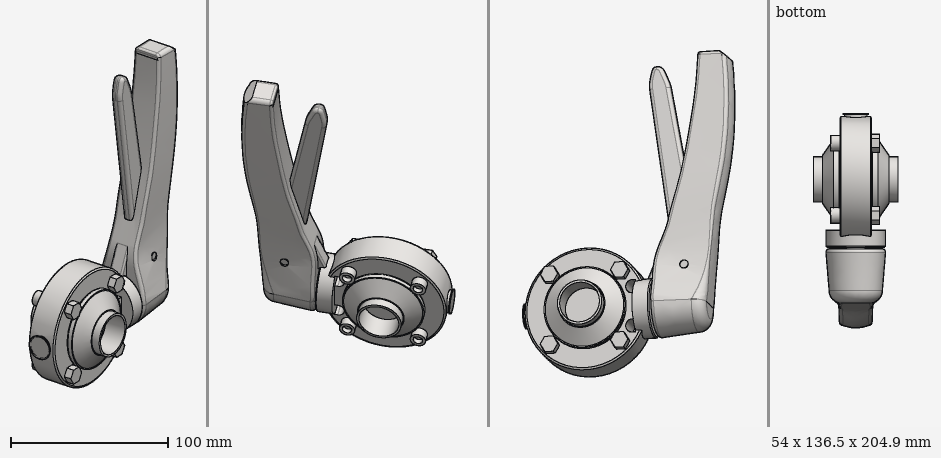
import cadquery as cq
import math


BODY_RADIUS = 40.0
BODY_HALF_WIDTH = 10.0
BODY_CHAMFER_AXIAL = 0.7
BODY_CHAMFER_RADIAL = 1.3

HUB_RADIUS = 26.5
HUB_END = 14.0
CONE_START_RADIUS = 25.7
HUB_GROOVE_RADIUS = 25.8
HUB_GROOVE_WIDTH = 0.7
CONE_END = 21.2
CONE_END_RADIUS = 15.2
TUBE_RADIUS = 14.5
TUBE_BORE_RADIUS = 13.0
TUBE_END = 27.0
CLOSING_FACE = 11.8

BOLT_OFFSET = 23.0
BOLT_HEAD_RADIUS = 5.0
BOLT_HEAD_END = 16.0
BOLT_SOCKET_RADIUS = 3.0
BOLT_SOCKET_DEPTH = 3.5
NUT_ACROSS_FLATS = 10.0
NUT_END = 15.2

PLUG_RADIUS = 8.1
PLUG_NECK_RADIUS = 7.3
PLUG_END = 42.0
PLUG_LIP = 0.8

COLLAR_RADIUS = 19.0
COLLAR_START = 32.3
COLLAR_END = 43.2
COLLAR_CHAMFER = 0.8
STEM_RADIUS = 6.0
SLOT_OFFSET = 12.9
SLOT_RADIUS = 4.3
SLOT_TIP = 26.0

HANDLE_TOP = 164.85
CROWN_HALF_WIDTH = 10.1
CROWN_FRONT = 72.7
CROWN_BACK = 100.0
CROWN_HEIGHT = 4.0
CROWN_SIDE_FILLET = 3.2
CROWN_FRONT_FILLET = 1.8
TOP_SLOPE_START = 86.5
TOP_SLOPE_ANGLE = 39.0
TOP_SLOPE_LENGTH = 12.0

HANDLE_SECTIONS = [
    (0.0, 44.3, 78.7, 19.0, 17.0, 2.2, 8.0, 0.05),
    (10.0, 44.3, 79.8, 17.6, 13.6, 2.2, 4.8, 0.15),
    (20.0, 44.3, 80.6, 14.6, 11.7, 2.2, 2.4, 0.3),
    (30.0, 45.0, 81.7, 12.0, 10.8, 2.0, 1.3, 0.5),
    (40.0, 48.0, 82.8, 11.0, 10.2, 2.0, 1.3, 0.7),
    (60.0, 54.8, 85.2, 11.3, 10.3, 2.0, 1.9, 1.3),
    (80.0, 60.5, 89.4, 11.6, 10.5, 2.0, 2.4, 1.5),
    (105.0, 65.8, 93.3, 11.2, 10.5, 2.0, 2.5, 1.5),
    (130.0, 69.9, 94.52, 10.8, 10.5, 2.0, 2.5, 1.5),
    (150.0, 72.0, 93.9, 10.3, 10.3, 2.0, 2.5, 1.5),
    (HANDLE_TOP, 72.9, 92.5, 10.0, 10.0, 2.0, 2.5, 1.5),
]
STEM_END = 50.0

PIVOT_Y = 64.6
PIVOT_Z = 24.8
PIVOT_RADIUS = 2.7
PIVOT_BOTTOM = 11.3

LEVER_HALF_THICKNESS = 3.75
LEVER_FILLET = 2.5
LEVER_TIP = (44.6, 158.4)
LEVER_BACK_TOP = (53.3, 143.9)
LEVER_BACK_SHOULDER = (49.6, 154.0)
LEVER_BACK_ROOT = (70.0, 52.0)
LEVER_FRONT_TOP = (39.6, 143.0)
LEVER_FRONT_SHOULDER = (40.7, 154.0)
LEVER_FRONT_ROOT = (52.5, 52.3)

CATCH_HALF_WIDTH = 5.0
CATCH_FILLET = 1.2
CATCH_TOP = (47.3, 38.0)
CATCH_FOOT = (38.4, 17.0)
CATCH_BACK = 55.0


def body():
    rim = BODY_RADIUS - BODY_CHAMFER_RADIAL
    shoulder = BODY_HALF_WIDTH - BODY_CHAMFER_AXIAL
    groove_end = BODY_HALF_WIDTH + HUB_GROOVE_WIDTH
    half = [
        (BODY_HALF_WIDTH, HUB_GROOVE_RADIUS),
        (groove_end, HUB_GROOVE_RADIUS),
        (groove_end, HUB_RADIUS),
        (HUB_END, HUB_RADIUS),
        (HUB_END, CONE_START_RADIUS),
        (CONE_END, CONE_END_RADIUS),
        (CONE_END, TUBE_RADIUS),
        (TUBE_END, TUBE_RADIUS),
        (TUBE_END, TUBE_BORE_RADIUS),
        (CLOSING_FACE, TUBE_BORE_RADIUS),
        (CLOSING_FACE, 0),
    ]
    outer = [(shoulder, BODY_RADIUS), (BODY_HALF_WIDTH, rim)] + half
    mirrored = [(-x, r) for x, r in reversed(outer)]
    profile = cq.Workplane("XY").polyline(outer + mirrored).close()
    return profile.revolve(360, (0, 0, 0), (1, 0, 0))


def bolts():
    places = [(y, z) for y in (-BOLT_OFFSET, BOLT_OFFSET) for z in (-BOLT_OFFSET, BOLT_OFFSET)]
    heads = (
        cq.Workplane("YZ", origin=(-BOLT_HEAD_END, 0, 0))
        .pushPoints(places)
        .circle(BOLT_HEAD_RADIUS)
        .circle(BOLT_SOCKET_RADIUS)
        .extrude(BOLT_SOCKET_DEPTH)
    )
    shanks = (
        cq.Workplane("YZ", origin=(BOLT_SOCKET_DEPTH - BOLT_HEAD_END, 0, 0))
        .pushPoints(places)
        .circle(BOLT_HEAD_RADIUS)
        .extrude(BOLT_HEAD_END - BOLT_SOCKET_DEPTH)
    )
    nuts = (
        cq.Workplane("YZ")
        .pushPoints(places)
        .polygon(6, NUT_ACROSS_FLATS / math.cos(math.pi / 6))
        .extrude(NUT_END)
    )
    return heads.union(shanks).union(nuts)


def along_stem(points):
    """Revolve a (radius, Y) outline about the stem axis."""
    return cq.Workplane("XY").polyline(points).close().revolve(360, (0, 0, 0), (0, 1, 0))


def plug():
    lip_start = -PLUG_END + PLUG_LIP
    inside = -BODY_RADIUS + PLUG_RADIUS
    return along_stem([
        (0, inside),
        (PLUG_NECK_RADIUS, inside),
        (PLUG_NECK_RADIUS, lip_start),
        (PLUG_RADIUS, lip_start),
        (PLUG_RADIUS, -PLUG_END),
        (0, -PLUG_END),
    ])


def collar():
    return along_stem([
        (0, COLLAR_START),
        (COLLAR_RADIUS, COLLAR_START),
        (COLLAR_RADIUS, COLLAR_END - COLLAR_CHAMFER),
        (COLLAR_RADIUS - COLLAR_CHAMFER, COLLAR_END),
        (STEM_RADIUS, COLLAR_END),
        (STEM_RADIUS, STEM_END),
        (0, STEM_END),
    ])


def collar_slots():
    """Two gaps through the body beside the stem, round at the tip and ending at the collar."""
    tip_centre = SLOT_TIP + SLOT_RADIUS
    straight = COLLAR_START - tip_centre
    places = [(tip_centre, -SLOT_OFFSET), (tip_centre, SLOT_OFFSET)]
    tips = (
        cq.Workplane("YZ")
        .pushPoints(places)
        .circle(SLOT_RADIUS)
        .extrude(BODY_HALF_WIDTH, both=True)
    )
    sides = (
        cq.Workplane("YZ")
        .pushPoints([(y + straight / 2, z) for y, z in places])
        .rect(straight, 2 * SLOT_RADIUS)
        .extrude(BODY_HALF_WIDTH, both=True)
    )
    past_collar = cq.Workplane("XY").box(
        2 * COLLAR_RADIUS, COLLAR_START, 2 * COLLAR_RADIUS, centered=(True, False, True)
    )
    return tips.union(sides).intersect(past_collar)


def corner_middle(start, end, corner):
    """Middle of the quarter arc from start to end that bulges towards the sharp corner."""
    keep = math.sqrt(0.5)
    centre = (start[0] + end[0] - corner[0], start[1] + end[1] - corner[1])
    return tuple(c + keep * (k - c) for c, k in zip(centre, corner))


def section_side(front, back, front_half, back_half, front_corner, back_corner, bulge):
    """Points of the +X side, front to back, with the middle of each rounded corner."""
    shoulder = back - bulge
    front_start = (front_half - front_corner, front)
    front_end = (front_half, front + front_corner)
    back_start = (back_half, shoulder - back_corner)
    back_end = (back_half - back_corner, shoulder)
    front_middle = corner_middle(front_start, front_end, (front_half, front))
    back_middle = corner_middle(back_start, back_end, (back_half, shoulder))
    return front_start, front_middle, front_end, back_start, back_middle, back_end


def section_wire(height, front, back, *shape):
    """Closed outline of the handle at one height."""
    right = section_side(front, back, *shape)
    left = [(-x, y) for x, y in right]
    return (
        cq.Workplane("XY", origin=(0, 0, height))
        .moveTo(*left[0])
        .lineTo(*right[0])
        .threePointArc(right[1], right[2])
        .lineTo(*right[3])
        .threePointArc(right[4], right[5])
        .threePointArc((0, back), left[5])
        .threePointArc(left[4], left[3])
        .lineTo(*left[2])
        .threePointArc(left[1], left[0])
        .close()
        .val()
    )


def crown_trim():
    """Material to remove so that the handle top is rounded at its front and sides."""
    bottom = HANDLE_TOP - CROWN_HEIGHT
    depth = CROWN_BACK - CROWN_FRONT
    middle = (CROWN_BACK + CROWN_FRONT) / 2
    slab = cq.Workplane("XY", origin=(0, middle, bottom)).rect(2 * depth, 2 * depth).extrude(CROWN_HEIGHT)
    crown = (
        cq.Workplane("XY", origin=(0, middle, bottom))
        .rect(2 * CROWN_HALF_WIDTH, depth)
        .extrude(CROWN_HEIGHT)
        .edges("|Y and >Z")
        .fillet(CROWN_SIDE_FILLET)
        .faces("<Y")
        .edges("not <Z")
        .edges("not |Z")
        .fillet(CROWN_FRONT_FILLET)
    )
    return slab.cut(crown)


def grip():
    """Upper part of the handle, lofted through its cross sections."""
    loft = cq.Solid.makeLoft([section_wire(*sizes) for sizes in HANDLE_SECTIONS])
    angle = math.radians(TOP_SLOPE_ANGLE)
    slope_end = TOP_SLOPE_START + TOP_SLOPE_LENGTH
    slope_drop = TOP_SLOPE_LENGTH * math.tan(angle)
    slope = (
        cq.Workplane("YZ")
        .moveTo(TOP_SLOPE_START, HANDLE_TOP)
        .lineTo(slope_end, HANDLE_TOP)
        .lineTo(slope_end, HANDLE_TOP - slope_drop)
        .close()
        .extrude(COLLAR_RADIUS, both=True)
    )
    return cq.Workplane(loft).cut(slope).cut(crown_trim())


def handle_bottom():
    """Lower half of the handle base: the base section turned half a circle about the stem axis."""
    front, back = HANDLE_SECTIONS[0][1:3]
    right = section_side(*HANDLE_SECTIONS[0][1:])
    return (
        cq.Workplane("XY")
        .moveTo(0, front)
        .lineTo(*right[0])
        .threePointArc(right[1], right[2])
        .lineTo(*right[3])
        .threePointArc(right[4], right[5])
        .lineTo(0, back)
        .close()
        .revolve(180, (0, 0, 0), (0, 1, 0))
    )


def pivot_holes():
    one_side = (
        cq.Workplane("YZ", origin=(PIVOT_BOTTOM, 0, 0))
        .center(PIVOT_Y, PIVOT_Z)
        .circle(PIVOT_RADIUS)
        .extrude(COLLAR_RADIUS - PIVOT_BOTTOM)
    )
    return one_side.union(one_side.mirror("YZ"))


def lever():
    up = (-0.17, 1.0)
    down = (0.14, -1.0)
    forward = (-1.0, 0.0)
    return (
        cq.Workplane("YZ")
        .moveTo(*LEVER_BACK_ROOT)
        .lineTo(*LEVER_BACK_TOP)
        .spline([LEVER_BACK_SHOULDER, LEVER_TIP], tangents=[up, forward], includeCurrent=True)
        .spline([LEVER_FRONT_SHOULDER, LEVER_FRONT_TOP], tangents=[forward, down], includeCurrent=True)
        .lineTo(*LEVER_FRONT_ROOT)
        .close()
        .extrude(LEVER_HALF_THICKNESS, both=True)
        .edges("(not |X) and (not <Z)")
        .fillet(LEVER_FILLET)
    )


def catch():
    """Wedge standing out of the handle front, its sloping face rounded at the sides and top."""
    return (
        cq.Workplane("YZ")
        .polyline([(CATCH_BACK, CATCH_TOP[1]), CATCH_TOP, CATCH_FOOT, (CATCH_BACK, CATCH_FOOT[1])])
        .close()
        .extrude(CATCH_HALF_WIDTH, both=True)
        .faces("<Y")
        .edges("(not |X) or >Z")
        .fillet(CATCH_FILLET)
    )


handle = grip().union(handle_bottom()).cut(pivot_holes())
result = body().union(collar()).cut(collar_slots())
for piece in (bolts(), plug(), handle, lever(), catch()):
    result = result.union(piece)